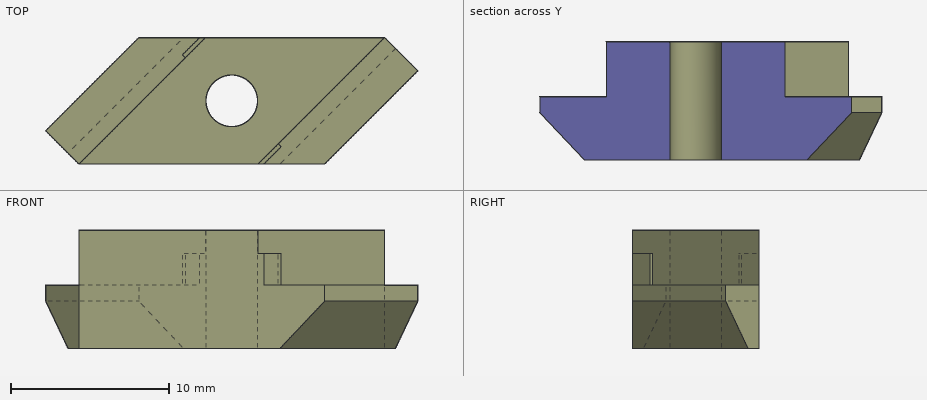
import cadquery as cq
import math

length = 23.55
depth = 8.0
height = 7.5
block_width = 8.0
flange_top = 4.0
bevel_height = 3.0
bevel_inset = 2.0
tab_top = 6.0
tab_thickness = 0.25
tab_length = 1.55
hole_diameter = 3.25

diagonal = math.sqrt(2)
half_length = length / 2
half_depth = depth / 2
block_corner_x = (depth + block_width * diagonal) / 2
inner_corner_x = block_corner_x - depth
end_run = half_length - block_corner_x
shoulder_y = half_depth - end_run
flange_front_x = half_length - (half_depth + shoulder_y)


def symmetric_outline(half_points):
    """Close an outline by turning half of its points 180 degrees about Z."""
    turned = [(-x, -y) for x, y in half_points]
    return half_points + turned


def flange_outline(inset):
    """Six-sided flange section with its long slanted sides moved inward."""
    end_shift = inset / diagonal
    side_shift = inset * diagonal
    return symmetric_outline([
        (-block_corner_x, -half_depth),
        (flange_front_x - side_shift, -half_depth),
        (half_length - end_shift, shoulder_y + end_shift),
    ])


def make_block():
    outline = symmetric_outline([
        (-block_corner_x, -half_depth),
        (inner_corner_x, -half_depth),
    ])
    return cq.Workplane("XY").polyline(outline).close().extrude(height)


def make_flange():
    straight = (
        cq.Workplane("XY").workplane(offset=bevel_height)
        .polyline(flange_outline(0)).close()
        .extrude(flange_top - bevel_height)
    )
    tapered = (
        cq.Workplane("XY").polyline(flange_outline(bevel_inset)).close()
        .workplane(offset=bevel_height)
        .polyline(flange_outline(0)).close()
        .loft(ruled=True, combine=True)
    )
    return straight.union(tapered)


def make_tab():
    """Thin tab at the front end of the block's +X side, standing on the flange."""
    outer_start_x = inner_corner_x + tab_thickness * diagonal
    outer_run = tab_length / diagonal
    end_step = tab_thickness / diagonal
    outer_end = (outer_start_x + outer_run, -half_depth + outer_run)
    inner_end = (outer_end[0] - end_step, outer_end[1] + end_step)
    outline = [
        (inner_corner_x, -half_depth),
        (outer_start_x, -half_depth),
        outer_end,
        inner_end,
    ]
    return (
        cq.Workplane("XY").workplane(offset=flange_top)
        .polyline(outline).close().extrude(tab_top - flange_top)
    )


result = make_block().union(make_flange())
for turn in (0, 180):
    result = result.union(make_tab().rotate((0, 0, 0), (0, 0, 1), turn))

hole = cq.Workplane("XY").circle(hole_diameter / 2).extrude(height)
result = result.cut(hole)